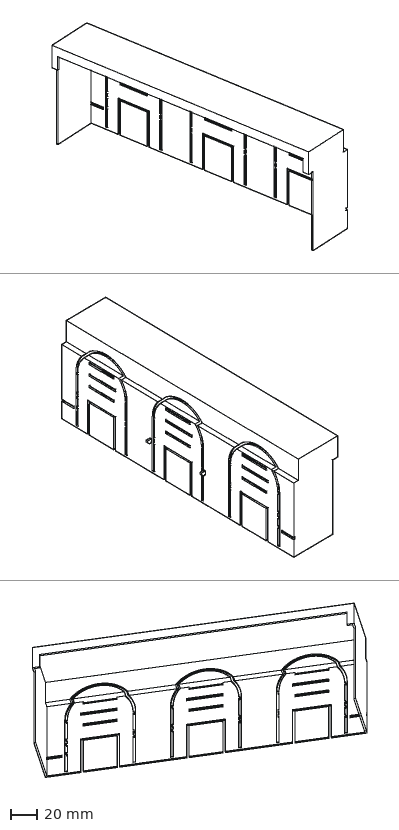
import cadquery as cq

length = 249.5
height = 90.0
wall = 1.5
hood_depth = 42.2
hood_bottom = 70.0
side_front = 5.4
rear_face = 47.1
lip_width = 5.65
lip_height = 8.0

arch_count = 3
arch_pitch = 82.0
arch_radius = 27.4
arch_spring = 52.8
arch_gap = 2.0
tie_height = 2.0

nib_reach = 0.8
nib_height = 2.0
nib_bottoms = (50.4, 32.0, 27.5)
outer_nib_bottom = 18.5

flap_width = 26.2
flap_height = 30.5
flap_side_gap = 1.9
flap_top_gap = 1.5
opening_width = flap_width + 2 * flap_side_gap
opening_height = flap_height + flap_top_gap

slot_height = 2.0
vent_count = 3
vent_pitch = 10.9
top_vent_bottom = hood_bottom - wall - slot_height
end_slot_bottom = 16.5
end_slot_length = 13.1

hook_width = 1.6
hook_centre_x = 28.95
overall_depth = 51.26
hook_bottom = 28.0
hook_height = 3.7
hook_bevel = 2.0

arch_centres = [(i - (arch_count - 1) / 2) * arch_pitch for i in range(arch_count)]
slit_front = hood_depth - 2 * wall
slit_depth = rear_face + wall - slit_front


def block(x_min, x_max, y_min, y_max, z_min, z_max):
    size = (x_max - x_min, y_max - y_min, z_max - z_min)
    return cq.Workplane("XY").box(*size, centered=False).translate((x_min, y_min, z_min))


def rear_cut(x_min, x_max, z_min, z_max):
    """Block that passes through the lower rear wall only."""
    return block(x_min, x_max, rear_face - wall, rear_face, z_min, z_max)


def arch_block(centre_x, radius, bottom):
    """Round-topped block that passes through the whole rear of the housing."""
    return (
        cq.Workplane("XZ", origin=(centre_x, slit_front, 0))
        .moveTo(-radius, bottom)
        .lineTo(-radius, arch_spring)
        .threePointArc((0, arch_spring + radius), (radius, arch_spring))
        .lineTo(radius, bottom)
        .close()
        .extrude(-slit_depth)
    )


def shell():
    outline = [
        (0, height),
        (hood_depth, height),
        (hood_depth, hood_bottom),
        (rear_face, hood_bottom),
        (rear_face, 0),
        (side_front, 0),
        (side_front, hood_bottom),
        (0, hood_bottom),
    ]
    cavity = [
        (wall, height - wall),
        (hood_depth - wall, height - wall),
        (hood_depth - wall, hood_bottom - wall),
        (rear_face - wall, hood_bottom - wall),
        (rear_face - wall, 0),
        (wall, 0),
    ]
    inner_half = length / 2 - wall
    window_half = length / 2 - lip_width
    outer = cq.Workplane("YZ").polyline(outline).close().extrude(length / 2, both=True)
    inner = cq.Workplane("YZ").polyline(cavity).close().extrude(inner_half, both=True)
    window = block(-window_half, window_half, 0, wall, hood_bottom, height - lip_height)
    return outer.cut(inner).cut(window)


def panel_slit(centre_x):
    """Slit between a panel and the rear wall, with the nibs left standing on the panel."""
    panel_half = arch_radius - arch_gap
    slit = arch_block(centre_x, arch_radius, tie_height).cut(arch_block(centre_x, panel_half, 0))
    for side in (-1, 1):
        bottoms = list(nib_bottoms)
        if centre_x * side == max(arch_centres):
            bottoms.append(outer_nib_bottom)
        edge = centre_x + side * panel_half
        tip = edge + side * nib_reach
        for bottom in bottoms:
            slit = slit.cut(rear_cut(min(edge, tip), max(edge, tip), bottom, bottom + nib_height))
    return slit


def panel_openings(centre_x):
    """Flap opening and vents of one panel; the middle vent reaches further to the left."""
    half_opening = opening_width / 2
    half_vent = flap_width / 2
    cuts = rear_cut(centre_x - half_opening, centre_x + half_opening, 0, opening_height)
    for i in range(vent_count):
        left = half_opening if i == vent_count // 2 else half_vent
        bottom = top_vent_bottom - i * vent_pitch
        cuts = cuts.union(rear_cut(centre_x - left, centre_x + half_vent, bottom, bottom + slot_height))
    return cuts


def end_slot(side):
    outer = side * length / 2
    inner = outer - side * end_slot_length
    return rear_cut(min(outer, inner), max(outer, inner), end_slot_bottom, end_slot_bottom + slot_height)


def hook(side):
    tip = overall_depth
    top = hook_bottom + hook_height
    profile = [
        (rear_face, top),
        (tip, top),
        (tip, hook_bottom + hook_bevel),
        (tip - hook_bevel, hook_bottom),
        (rear_face, hook_bottom),
    ]
    left = side * hook_centre_x - hook_width / 2
    return cq.Workplane("YZ", origin=(left, 0, 0)).polyline(profile).close().extrude(hook_width)


def flap(centre_x):
    return rear_cut(centre_x - flap_width / 2, centre_x + flap_width / 2, 0, flap_height)


housing = shell()
for x in arch_centres:
    housing = housing.cut(panel_slit(x)).cut(panel_openings(x))
for end in (-1, 1):
    housing = housing.cut(end_slot(end)).union(hook(end))

flaps = [flap(x) for x in arch_centres]

result = cq.Compound.makeCompound([housing.val(), *[body.val() for body in flaps]])